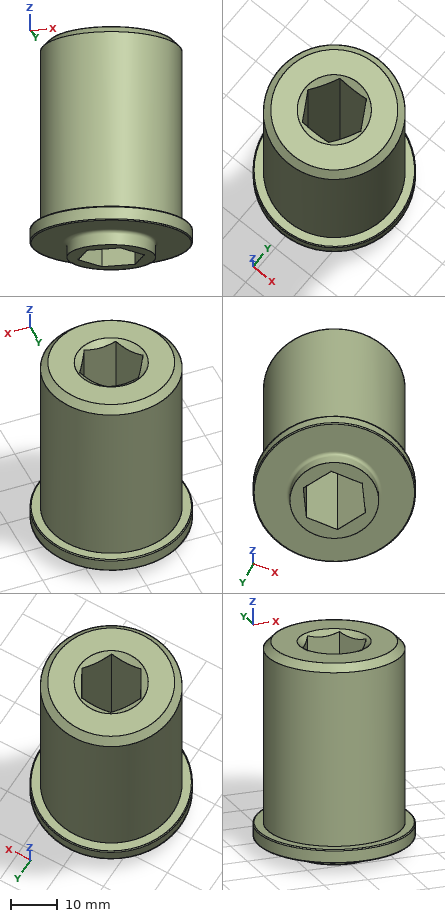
import cadquery as cq
import math

total_height = 47.6
body_diameter = 30.5
flange_diameter = 34.9
spigot_diameter = 19.05

spigot_height = 3.2
flange_thickness = 3.15

body_chamfer = 1.6
flange_chamfer = 0.25
spigot_fillet = 0.75

hex_across_flats = 12.7
lead_in_diameter = 15.9
lead_in_angle = 35.0


def make_spigot_and_flange():
    """Flange with broken rims, joined to the spigot below by a fillet."""
    flange = (
        cq.Workplane("XY")
        .workplane(offset=spigot_height)
        .circle(flange_diameter / 2)
        .extrude(flange_thickness)
        .edges()
        .chamfer(flange_chamfer)
    )
    spigot = cq.Workplane("XY").circle(spigot_diameter / 2).extrude(spigot_height)
    joint = cq.selectors.RadiusNthSelector(0)
    return flange.union(spigot).edges(joint).edges(">Z").fillet(spigot_fillet)


def make_body():
    """Cylindrical body with a chamfered top rim."""
    body_bottom = spigot_height + flange_thickness
    return (
        cq.Workplane("XY")
        .workplane(offset=body_bottom)
        .circle(body_diameter / 2)
        .extrude(total_height - body_bottom)
        .faces(">Z")
        .edges()
        .chamfer(body_chamfer)
    )


def make_hex_hole():
    """Cutter for the hexagonal passage, with corners on the X axis."""
    across_corners = hex_across_flats / math.cos(math.radians(30))
    return cq.Workplane("XY").polygon(6, across_corners).extrude(total_height)


def make_lead_in():
    """Conical cutter that opens the hexagon at the top face."""
    radius = lead_in_diameter / 2
    depth = radius * math.tan(math.radians(lead_in_angle))
    cone = cq.Solid.makeCone(0, radius, depth)
    return cq.Workplane("XY").add(cone).translate((0, 0, total_height - depth))


result = (
    make_spigot_and_flange()
    .union(make_body())
    .cut(make_hex_hole())
    .cut(make_lead_in())
)